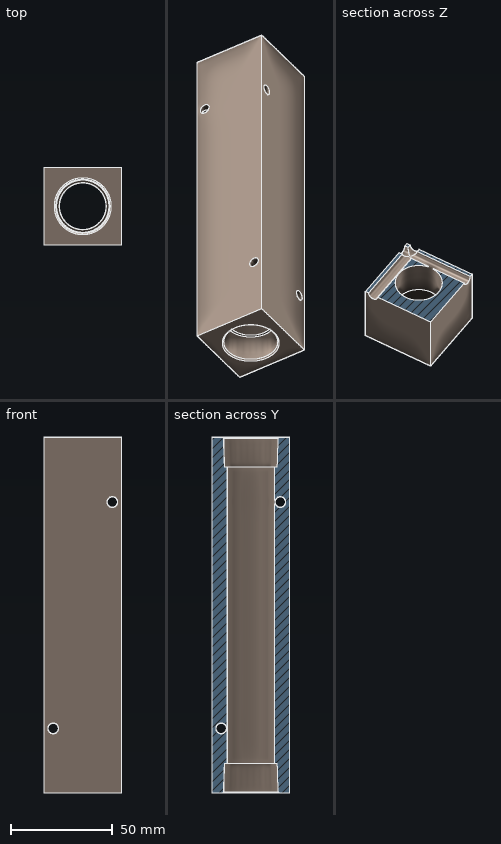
import cadquery as cq

length = 174.6
side = 38.0

bore_diameter = 22.9
socket_mouth_diameter = 26.5
socket_floor_diameter = 25.7
socket_depth = 14.5
socket_chamfer = 0.7

cross_hole_diameter = 5.0
cross_hole_offset = 14.5
cross_hole_height = 55.5


def end_socket():
    """Slightly tapered, chamfered socket cutter for the top end."""
    rim_radius = socket_mouth_diameter / 2 + socket_chamfer
    profile = (
        cq.Workplane("XZ")
        .moveTo(0, length / 2 - socket_depth)
        .lineTo(socket_floor_diameter / 2, length / 2 - socket_depth)
        .lineTo(socket_mouth_diameter / 2, length / 2 - socket_chamfer)
        .lineTo(rim_radius, length / 2)
        .lineTo(0, length / 2)
        .close()
    )
    return profile.revolve(360, (0, 0, 0), (0, 1, 0))


def cross_holes(plane):
    """Pair of through holes placed at diagonally opposite points of a face."""
    points = [(sign * cross_hole_offset, sign * cross_hole_height) for sign in (1, -1)]
    return (
        cq.Workplane(plane)
        .pushPoints(points)
        .circle(cross_hole_diameter / 2)
        .extrude(side, both=True)
    )


block = cq.Workplane("XY").box(side, side, length)
bore = cq.Workplane("XY").circle(bore_diameter / 2).extrude(length, both=True)
top_socket = end_socket()
bottom_socket = top_socket.mirror("XY")

result = block.cut(bore).cut(top_socket).cut(bottom_socket)
for face_plane in ("XZ", "YZ"):
    result = result.cut(cross_holes(face_plane))